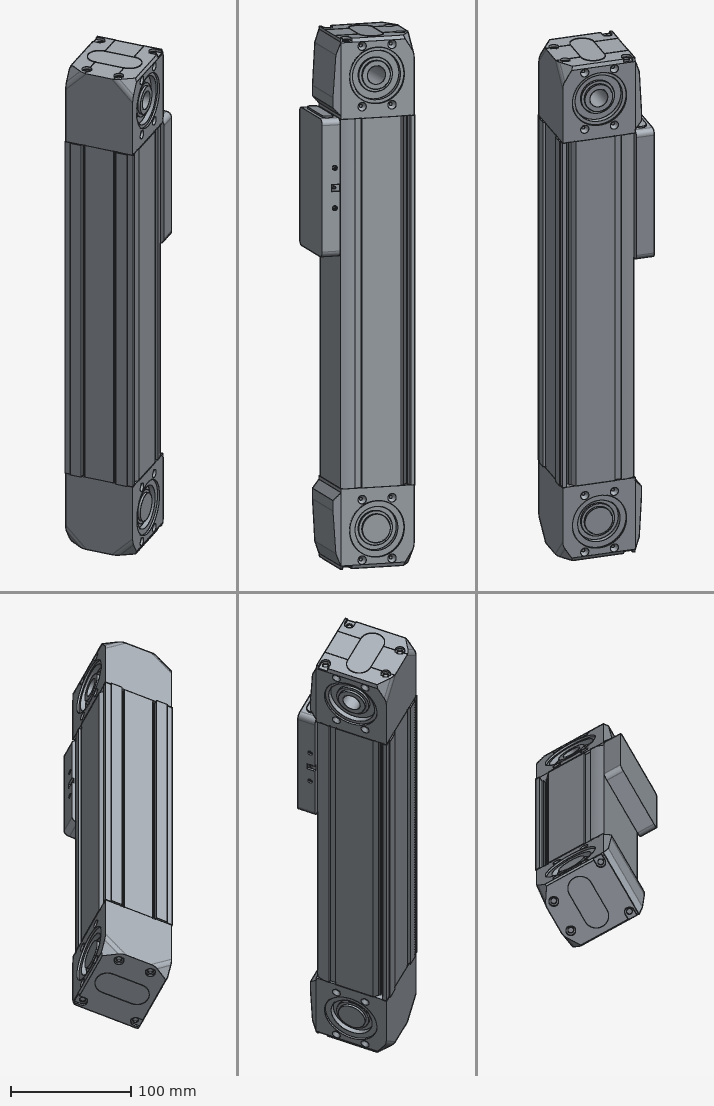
import cadquery as cq


OVERALL_LENGTH = 451.0

PROFILE_WIDTH = 62.0
PROFILE_DEPTH = 65.0
PROFILE_LENGTH = 314.0
FRONT_RECESS = 1.5
CORNER_STEP = 1.0
CORNER_STEP_X = 25.5
SLOT_X = 14.5
SLOT_WIDTH = 2.5
SLOT_DEPTH = 3.5
SLOT_ROOT_WIDTH = 1.15
SLOT_ROOT_DEPTH = 5.5
SIDE_GROOVE_FRONT = 4.5
SIDE_GROOVE_BACK = 10.0
SIDE_GROOVE_DEPTH = 4.5
SIDE_ROOT_WIDTH = 2.3
SIDE_ROOT_DEPTH = 6.8
SIDE_BEVEL_BACK = 13.0
SIDE_BEVEL_DEPTH = 3.5
REAR_GROOVE_FRONT = 47.5
REAR_GROOVE_BACK = 53.0
REAR_GROOVE_DEPTH = 2.3
REAR_CORNER_INSET = 2.5
REAR_CORNER_BULGE = 0.68

HEAD_WIDTH = 61.0
HEAD_FRONT = 1.5
HEAD_BACK = 65.5
HEAD_EDGE_RISE = 3.0
HEAD_EDGE_RUN = 1.5
CORNER_CUT_LEG = 15.5
CORNER_CUT_DEPTH = 10.0
CORNER_CUT_RADIUS = 6.8
DIAGONAL_LIMIT = 0.6
GUARD_BACK = 71.5
GUARD_KINK_Y = 69.5
GUARD_TOP_GAP = 2.5
GUARD_KINK_DROP = 13.5
GUARD_CREST_DROP = 49.5
GUARD_HEEL_DROP = 58.5
GUARD_FOOT_DROP = 65.5
GUARD_SIDE_LEAN = 2.3
PULLEY_Y = 34.0
PULLEY_Z = 192.5
FLANGE_DIAMETER = 48.0
FLANGE_DEPTH = 2.0
RECESS_DEPTH = 6.5
DRIVE_RECESS_DIAMETER = 42.0
IDLER_RECESS_DIAMETER = 37.5
HUB_DIAMETER = 29.5
HUB_HEIGHT = 2.3
HUB_TIP_DIAMETER = 24.5
HUB_TIP_HEIGHT = 4.5
DRIVE_BORE = 16.0
SIDE_HOLE_Y = 13.0
SIDE_HOLE_Z = 25.5
SIDE_HOLE_DIAMETER = 7.0
SIDE_HOLE_DEPTH = 3.5
SIDE_HOLE_TAPER = 33
FRONT_HOLE = (14.5, 9.0)
REAR_HOLE = (24.5, 59.5)
END_HOLE_DIAMETER = 8.0
END_HOLE_DEPTH = 2.3
END_SOCKET_DIAMETER = 5.0
END_SOCKET_DEPTH = 4.0
CHANNEL_WIDTH = 26.0
CHANNEL_DEPTH = 0.23
OVAL_LENGTH = 48.0
OVAL_WIDTH = 20.7
OVAL_HEIGHT = 0.5

CARRIAGE_FRONT = 66.5
CARRIAGE_BACK = 82.0
CARRIAGE_BOTTOM = 40.5
CARRIAGE_TOP = 158.0
CARRIAGE_CORNER_RADIUS = 5.0
PAD_LENGTH = 48.0
PAD_WIDTH = 9.5
PAD_HEIGHT = 1.5
PAD_Y = 74.0
PORT_Y = 71.0
PORT_DIAMETER = 4.0
PORT_SPACING = 17.0
PORT_DEPTH = 2.0
PORT_CORE_DIAMETER = 2.5
PORT_CORE_DEPTH = 4.0
NOTCH_WIDTH = 6.0
NOTCH_BACK = 73.5

HEAD_END = (OVERALL_LENGTH - OVAL_HEIGHT) / 2
HEAD_START = PROFILE_LENGTH / 2
GUARD_OUTLINE = [
    (HEAD_BACK, HEAD_END - GUARD_TOP_GAP),
    (GUARD_KINK_Y, HEAD_END - GUARD_KINK_DROP),
    (GUARD_BACK, HEAD_END - GUARD_CREST_DROP),
    (GUARD_BACK, HEAD_END - GUARD_HEEL_DROP),
    (HEAD_BACK, HEAD_END - GUARD_FOOT_DROP),
]


def box_between(corner_a, corner_b):
    spans = [b - a for a, b in zip(corner_a, corner_b)]
    return cq.Workplane("XY").box(*spans, centered=False).translate(corner_a)


def make_profile():
    """Slotted extrusion, mirrored about X = 0 from the cross-section of its +X half."""
    side = PROFILE_WIDTH / 2
    root_y = (SIDE_GROOVE_FRONT + SIDE_GROOVE_BACK) / 2
    half_profile = (
        cq.Workplane("XY")
        .moveTo(0, FRONT_RECESS)
        .lineTo(SLOT_X - SLOT_WIDTH / 2, FRONT_RECESS)
        .lineTo(SLOT_X - SLOT_WIDTH / 2, SLOT_DEPTH)
        .lineTo(SLOT_X - SLOT_ROOT_WIDTH / 2, SLOT_DEPTH)
        .lineTo(SLOT_X - SLOT_ROOT_WIDTH / 2, SLOT_ROOT_DEPTH)
        .lineTo(SLOT_X + SLOT_ROOT_WIDTH / 2, SLOT_ROOT_DEPTH)
        .lineTo(SLOT_X + SLOT_ROOT_WIDTH / 2, SLOT_DEPTH)
        .lineTo(SLOT_X + SLOT_WIDTH / 2, SLOT_DEPTH)
        .lineTo(SLOT_X + SLOT_WIDTH / 2, 0)
        .lineTo(CORNER_STEP_X, 0)
        .lineTo(CORNER_STEP_X, CORNER_STEP)
        .lineTo(side, CORNER_STEP)
        .lineTo(side, SIDE_GROOVE_FRONT)
        .lineTo(side - SIDE_GROOVE_DEPTH, SIDE_GROOVE_FRONT)
        .lineTo(side - SIDE_GROOVE_DEPTH, root_y - SIDE_ROOT_WIDTH / 2)
        .lineTo(side - SIDE_ROOT_DEPTH, root_y - SIDE_ROOT_WIDTH / 2)
        .lineTo(side - SIDE_ROOT_DEPTH, root_y + SIDE_ROOT_WIDTH / 2)
        .lineTo(side - SIDE_GROOVE_DEPTH, root_y + SIDE_ROOT_WIDTH / 2)
        .lineTo(side - SIDE_GROOVE_DEPTH, SIDE_GROOVE_BACK)
        .lineTo(side - SIDE_BEVEL_DEPTH, SIDE_GROOVE_BACK)
        .lineTo(side, SIDE_BEVEL_BACK)
        .lineTo(side, REAR_GROOVE_FRONT)
        .lineTo(side - REAR_GROOVE_DEPTH, REAR_GROOVE_FRONT)
        .lineTo(side - REAR_GROOVE_DEPTH, REAR_GROOVE_BACK)
        .lineTo(side, REAR_GROOVE_BACK)
        .threePointArc(
            (side - REAR_CORNER_INSET / 2 + REAR_CORNER_BULGE, (REAR_GROOVE_BACK + PROFILE_DEPTH) / 2),
            (side - REAR_CORNER_INSET, PROFILE_DEPTH),
        )
        .lineTo(0, PROFILE_DEPTH)
        .close()
        .extrude(PROFILE_LENGTH / 2, both=True)
    )
    return half_profile.union(half_profile.mirror("YZ"))


def corner_cutter(side):
    """Slab that bevels the front outer corner on the given side (-1 or 1) of a head."""
    corner = cq.Vector(side * HEAD_WIDTH / 2, HEAD_FRONT, HEAD_END)
    front_tip = corner + cq.Vector(-side * CORNER_CUT_LEG, 0, 0)
    outward = cq.Vector(side / CORNER_CUT_LEG, -1 / CORNER_CUT_DEPTH, 1 / CORNER_CUT_LEG)
    facet = cq.Plane(origin=front_tip, normal=outward)
    slab_size = 3 * CORNER_CUT_LEG
    return cq.Workplane(facet).rect(slab_size, slab_size).extrude(CORNER_CUT_LEG)


def make_guard():
    """Sloped belt guard on the back of the head; its sides lean in towards the back."""
    outline = (
        cq.Workplane("YZ")
        .polyline(GUARD_OUTLINE)
        .close()
        .extrude(HEAD_WIDTH / 2, both=True)
    )
    root = HEAD_WIDTH / 2
    tip = root - GUARD_SIDE_LEAN
    taper = (
        cq.Workplane("XY", origin=(0, 0, HEAD_START))
        .polyline([(-root, HEAD_BACK), (root, HEAD_BACK), (tip, GUARD_BACK), (-tip, GUARD_BACK)])
        .close()
        .extrude(HEAD_END - HEAD_START)
    )
    return outline.intersect(taper)


def make_head_block():
    """Upper head without pulley features: block with beveled edges, corner facets and belt guard."""
    side = HEAD_WIDTH / 2
    block = (
        cq.Workplane("XZ", origin=(0, HEAD_FRONT, 0))
        .polyline([
            (-side, HEAD_START),
            (side, HEAD_START),
            (side, HEAD_END - HEAD_EDGE_RISE),
            (side - HEAD_EDGE_RUN, HEAD_END),
            (HEAD_EDGE_RUN - side, HEAD_END),
            (-side, HEAD_END - HEAD_EDGE_RISE),
        ])
        .close()
        .extrude(HEAD_FRONT - HEAD_BACK)
    )
    for direction in (-1, 1):
        block = block.cut(corner_cutter(direction))
    facet_edges = [
        edge
        for edge in block.faces("<Y").edges().vals()
        if min(abs(edge.tangentAt(0).x), abs(edge.tangentAt(0).z)) > DIAGONAL_LIMIT
    ]
    block = block.newObject(facet_edges).fillet(CORNER_CUT_RADIUS)
    return block.union(make_guard())


def side_cylinder(diameter, start, depth):
    """Cylinder on the pulley axis that begins the given distance inside the +X side face."""
    x = HEAD_WIDTH / 2 - start
    return cq.Workplane("YZ", origin=(x, PULLEY_Y, PULLEY_Z)).circle(diameter / 2).extrude(-depth)


def cut_pulley_sides(head, recess_diameter):
    """Cut the flange, the hub recess and the flange holes into both side faces."""
    cut = side_cylinder(FLANGE_DIAMETER, 0, FLANGE_DEPTH)
    cut = cut.union(side_cylinder(recess_diameter, 0, RECESS_DEPTH))
    cut = cut.cut(side_cylinder(HUB_DIAMETER, RECESS_DEPTH - HUB_HEIGHT, HUB_HEIGHT))
    cut = cut.cut(side_cylinder(HUB_TIP_DIAMETER, RECESS_DEPTH - HUB_TIP_HEIGHT, HUB_TIP_HEIGHT))
    holes = (
        cq.Workplane("YZ", origin=(HEAD_WIDTH / 2, PULLEY_Y, PULLEY_Z))
        .rect(2 * SIDE_HOLE_Y, 2 * SIDE_HOLE_Z, forConstruction=True)
        .vertices()
        .circle(SIDE_HOLE_DIAMETER / 2)
        .extrude(-SIDE_HOLE_DEPTH, taper=SIDE_HOLE_TAPER)
    )
    cut = cut.union(holes)
    return head.cut(cut).cut(cut.mirror("YZ"))


def end_cylinders(points, diameter, depth):
    return cq.Workplane("XY", origin=(0, 0, HEAD_END)).pushPoints(points).circle(diameter / 2).extrude(-depth)


def make_head(recess_diameter):
    """Upper head with its pulley sides and end holes; the rear holes open out to the side faces."""
    head = cut_pulley_sides(make_head_block(), recess_diameter)
    points = [(side * x, y) for x, y in (FRONT_HOLE, REAR_HOLE) for side in (-1, 1)]
    head = head.cut(end_cylinders(points, END_HOLE_DIAMETER, END_HOLE_DEPTH))
    head = head.cut(end_cylinders(points, END_SOCKET_DIAMETER, END_SOCKET_DEPTH))
    rear_x, rear_y = REAR_HOLE
    half_width = END_HOLE_DIAMETER / 2
    relief = box_between(
        (rear_x, rear_y - half_width, HEAD_END - END_HOLE_DEPTH),
        (HEAD_WIDTH / 2, rear_y + half_width, HEAD_END),
    )
    return head.cut(relief).cut(relief.mirror("YZ"))


def oval(height):
    return cq.Workplane("XY", origin=(0, PULLEY_Y, HEAD_END)).slot2D(OVAL_LENGTH, OVAL_WIDTH).extrude(height)


def make_drive_head():
    """Top head: through bore, and a shallow channel and oval recess in its end face."""
    head = make_head(DRIVE_RECESS_DIAMETER)
    channel = box_between(
        (-CHANNEL_WIDTH / 2, HEAD_FRONT, HEAD_END - CHANNEL_DEPTH),
        (CHANNEL_WIDTH / 2, HEAD_BACK, HEAD_END),
    )
    bore = side_cylinder(DRIVE_BORE, 0, HEAD_WIDTH)
    return head.cut(channel).cut(oval(-OVAL_HEIGHT)).cut(bore)


def make_idler_head():
    """Bottom head: closed pulley recess and a raised oval pad."""
    return make_head(IDLER_RECESS_DIAMETER).union(oval(OVAL_HEIGHT)).mirror("XY")


def make_carriage():
    """Block with rounded ends, an oval pad on top, and ports and a notch in its -X side."""
    length = CARRIAGE_TOP - CARRIAGE_BOTTOM
    depth = CARRIAGE_BACK - CARRIAGE_FRONT
    mid_z = (CARRIAGE_TOP + CARRIAGE_BOTTOM) / 2
    body = (
        cq.Workplane("XY")
        .box(PROFILE_WIDTH, depth, length)
        .edges("|Y")
        .fillet(CARRIAGE_CORNER_RADIUS)
        .translate((0, CARRIAGE_FRONT + depth / 2, mid_z))
    )
    pad_plane = cq.Workplane("XY", origin=(0, PAD_Y, CARRIAGE_TOP))
    pad = pad_plane.slot2D(PAD_LENGTH, PAD_WIDTH).extrude(PAD_HEIGHT)
    port_face = cq.Workplane("YZ", origin=(-PROFILE_WIDTH / 2, PORT_Y, mid_z))
    port_points = [(0, -PORT_SPACING), (0, PORT_SPACING)]
    ports = port_face.pushPoints(port_points).circle(PORT_DIAMETER / 2).extrude(PORT_DEPTH)
    cores = (
        port_face.pushPoints([*port_points, (0, 0)])
        .circle(PORT_CORE_DIAMETER / 2)
        .extrude(PORT_CORE_DEPTH)
    )
    notch = box_between(
        (-PROFILE_WIDTH / 2, CARRIAGE_FRONT, mid_z - NOTCH_WIDTH / 2),
        (PORT_DEPTH - PROFILE_WIDTH / 2, NOTCH_BACK, mid_z + NOTCH_WIDTH / 2),
    )
    return body.union(pad).cut(ports).cut(notch).cut(cores)


profile = make_profile()
drive_head = make_drive_head()
idler_head = make_idler_head()
carriage = make_carriage()
result = cq.Compound.makeCompound([profile.val(), drive_head.val(), idler_head.val(), carriage.val()])